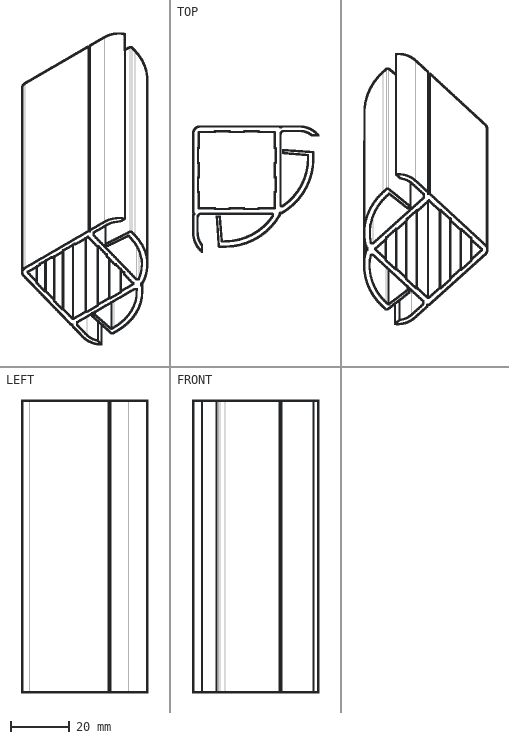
import cadquery as cq
import math

length = 100.0

tube = 30.0
wall = 2.0
corner_radius = 2.5
recess_depth = 0.3
recess_width = 5.0
recess_offset = 5.0

lip_reach = 43.0
lip_thickness = 1.6
lip_straight_end = 36.5
lip_drop = 3.1
lip_root_fillet = 1.2

wing_center_x = 19.7
wing_center_y = -11.0
wing_radius = 21.6
wing_thickness = 1.9
wing_root_fillet = 0.5
wing_tip_fillet = 0.5
flap_gap = 0.9
flap_tip_y = -8.1
flap_outer_y = -8.8
flap_thickness = 1.1

groove_depth = 0.4


def wing_y(radius, x):
    """Y of the lower half of the wing arc at position x."""
    return wing_center_y - math.sqrt(radius**2 - (x - wing_center_x) ** 2)


def wing_middle(radius):
    """Point on the wing arc between its straight end and the tube."""
    angle = math.radians(-30)
    return (
        wing_center_x + radius * math.cos(angle),
        wing_center_y + radius * math.sin(angle),
    )


def make_tube():
    body = cq.Workplane("XY").rect(tube, tube).extrude(length)
    body = body.edges("|Z and <X and >Y").fillet(corner_radius)
    cavity_size = tube - 2 * wall
    recessed_size = cavity_size + 2 * recess_depth
    cavity = cq.Workplane("XY").rect(cavity_size, cavity_size).extrude(length)
    for offset in (-recess_offset, recess_offset):
        cavity = cavity.union(
            cq.Workplane("XY").center(offset, 0).rect(recess_width, recessed_size).extrude(length)
        )
        cavity = cavity.union(
            cq.Workplane("XY").center(0, offset).rect(recessed_size, recess_width).extrude(length)
        )
    return body.cut(cavity).translate((tube / 2, -tube / 2, 0))


def make_lip():
    run = lip_reach - lip_straight_end
    outer_radius = (run**2 + lip_drop**2) / (2 * lip_drop)
    inner_radius = outer_radius - lip_thickness
    center_height = outer_radius - lip_drop
    inner_end_x = lip_straight_end + math.sqrt(inner_radius**2 - center_height**2)
    root_x = tube - wall / 2
    return (
        cq.Workplane("XY")
        .moveTo(root_x, 0)
        .lineTo(lip_straight_end, 0)
        .tangentArcPoint((lip_reach, -lip_drop), relative=False)
        .lineTo(inner_end_x, -lip_drop)
        .radiusArc((lip_straight_end, -lip_thickness), -inner_radius)
        .lineTo(root_x, -lip_thickness)
        .close()
        .extrude(length)
    )


def make_wing():
    inner_radius = wing_radius - wing_thickness
    outer_x = wing_center_x + wing_radius
    inner_x = wing_center_x + inner_radius
    flap_tip_x = tube + flap_gap
    flap_inner_y = flap_outer_y - flap_thickness
    root_x = tube - wall / 2
    wing = (
        cq.Workplane("XY")
        .moveTo(flap_tip_x, flap_tip_y)
        .lineTo(outer_x, flap_outer_y)
        .lineTo(outer_x, wing_center_y)
        .threePointArc(wing_middle(wing_radius), (tube, wing_y(wing_radius, tube)))
        .lineTo(root_x, wing_y(wing_radius, tube))
        .lineTo(root_x, wing_y(inner_radius, root_x))
        .threePointArc(wing_middle(inner_radius), (inner_x, wing_center_y))
        .lineTo(inner_x, flap_inner_y)
        .lineTo(flap_tip_x, flap_tip_y - flap_thickness)
        .close()
        .extrude(length)
    )
    return fillet_corner(wing, outer_x, flap_outer_y, wing_tip_fillet)


def mirror_diagonal(shape):
    return shape.mirror(cq.Vector(1, 1, 0))


def fillet_corner(body, x, y, radius):
    point = cq.Vector(x, y, length / 2)
    return body.edges(cq.NearestToPointSelector(point.toTuple())).fillet(radius)


def make_groove(x, y):
    return (
        cq.Workplane("XY")
        .center(x, y)
        .polyline([(-groove_depth, 0), (0, groove_depth), (groove_depth, 0), (0, -groove_depth)])
        .close()
        .extrude(length)
    )


result = make_tube()
for half in (make_lip(), make_wing()):
    result = result.union(half).union(mirror_diagonal(half))

wing_root_y = wing_y(wing_radius - wing_thickness, tube)
for corner_y, radius in ((-lip_thickness, lip_root_fillet), (wing_root_y, wing_root_fillet)):
    result = fillet_corner(result, tube, corner_y, radius)
    result = fillet_corner(result, -corner_y, -tube, radius)

for groove_x, groove_y in ((tube, 0), (0, -tube), (tube, -tube)):
    result = result.cut(make_groove(groove_x, groove_y))